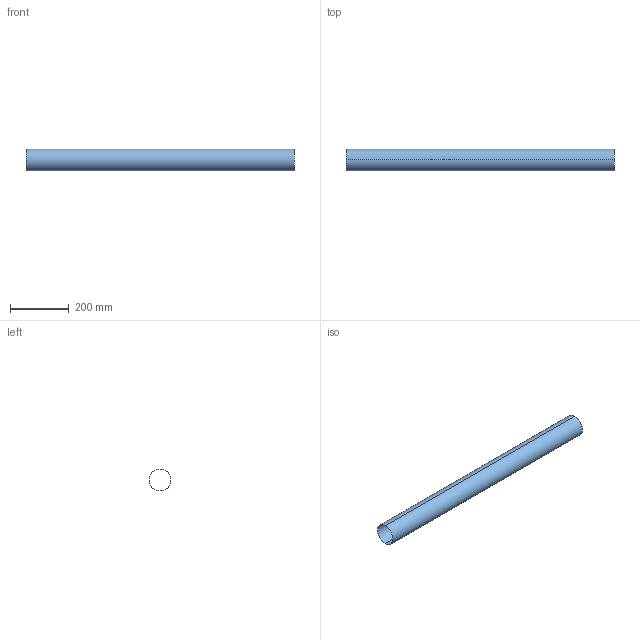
import cadquery as cq

tube_length = 914.4
outer_diameter = 75.03
wall_thickness = 1.0

outer_radius = outer_diameter / 2
inner_radius = outer_radius - wall_thickness


def split_circle(sketch, radius):
    """Closed circle made of two half arcs that meet at the top and bottom."""
    return (
        sketch.moveTo(0, radius)
        .threePointArc((radius, 0), (0, -radius))
        .threePointArc((-radius, 0), (0, radius))
        .close()
    )


ring = cq.Workplane("YZ", origin=(-tube_length / 2, 0, 0))
ring = split_circle(ring, outer_radius)
ring = split_circle(ring, inner_radius)

result = ring.extrude(tube_length, clean=False)